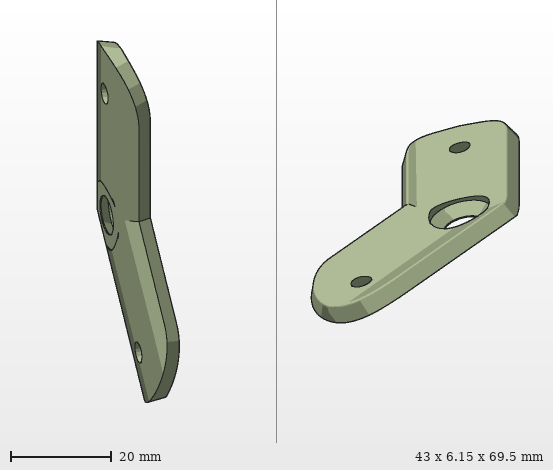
import math

import cadquery as cq

OUTER_RADIUS = 25.0
THICKNESS = 3.71
INNER_RADIUS = OUTER_RADIUS - THICKNESS
HALF_WIDTH = 12.0
HALF_SWEEP = math.degrees(math.asin(HALF_WIDTH / OUTER_RADIUS))

ARM_LENGTH = 38.5
BEND_ANGLE = 135.0
TURN = 180.0 - BEND_ANGLE

END_ROUND_RADIUS = HALF_WIDTH
OUTSIDE_CORNER_RADIUS = 10.0
RIM_ROUND_RADIUS = 0.5

SPOTFACE_DIAMETER = 14.0
SPOTFACE_DEPTH = 0.5
PIVOT_HOLE_RADIUS = 4.0
COUNTERBORE_RADIUS = 6.25
CONE_START = 0.75
CONE_END = CONE_START + COUNTERBORE_RADIUS - PIVOT_HOLE_RADIUS

END_HOLE_DIAMETER = 4.2
END_HOLE_DISTANCE = 28.5

TAIL = 20.0
CLEARANCE = 5.0
MITRE_BLOCK_SIDE = 4 * ARM_LENGTH


def make_wall_block(side):
    """Block whose radial wall (side +1 at +X, -1 at -X) turns into the arm end by a round corner."""
    width = OUTER_RADIUS + HALF_WIDTH
    depth = OUTER_RADIUS + CLEARANCE
    block = (
        cq.Workplane("XY", origin=(-width / 2, -depth / 2, -TAIL))
        .rect(width, depth)
        .extrude(TAIL + ARM_LENGTH)
        .edges(">X and >Z")
        .fillet(END_ROUND_RADIUS)
        .rotate((0, 0, 0), (0, 0, 1), HALF_SWEEP)
        .translate((0, OUTER_RADIUS, 0))
    )
    return block if side > 0 else block.mirror("YZ")


def make_mitre_block():
    """Large block filling the upper arm's side of the mitre plane."""
    return (
        cq.Workplane("XY")
        .box(MITRE_BLOCK_SIDE, MITRE_BLOCK_SIDE, MITRE_BLOCK_SIDE, centered=(True, True, False))
        .rotate((0, 0, 0), (0, 1, 0), -TURN / 2)
    )


def make_plain_arm():
    """Upright curved arm with a round end, mitred through the pivot."""
    shell = (
        cq.Workplane("XY", origin=(0, OUTER_RADIUS, -TAIL))
        .circle(OUTER_RADIUS)
        .circle(INNER_RADIUS)
        .extrude(TAIL + ARM_LENGTH)
    )
    return shell.intersect(make_wall_block(1)).intersect(make_wall_block(-1)).intersect(make_mitre_block())


def join_with_mirror(upper_arm):
    """Join an upper arm to its mirror image across the mitre plane."""
    lower_arm = upper_arm.mirror("XY").rotate((0, 0, 0), (0, 1, 0), -TURN)
    return upper_arm.union(lower_arm)


def round_outside_corner(body):
    """Round the edge where the two outside walls meet at the mitre."""
    sweep = math.radians(HALF_SWEEP)
    wall_radius = (OUTER_RADIUS + INNER_RADIUS) / 2
    corner_x = -wall_radius * math.sin(sweep)
    corner_y = OUTER_RADIUS - wall_radius * math.cos(sweep)
    corner_z = corner_x * math.tan(math.radians(TURN / 2))
    corner_edge = cq.selectors.NearestToPointSelector((corner_x, corner_y, corner_z))
    return body.edges(corner_edge).fillet(OUTSIDE_CORNER_RADIUS)


def round_inner_rim(arm):
    """Round the edges of the arm's inner face, leaving its mitre edge sharp."""
    inner_face = arm.faces(cq.selectors.NearestToPointSelector((0, 2 * THICKNESS, ARM_LENGTH / 2)))
    mitre_face = arm.faces(cq.selectors.NearestToPointSelector((0, THICKNESS, 0)))
    mitre_edges = mitre_face.edges().vals()
    rim_edges = [
        edge
        for edge in inner_face.edges().vals()
        if not any(edge.isSame(mitre_edge) for mitre_edge in mitre_edges)
    ]
    return arm.newObject(rim_edges).fillet(RIM_ROUND_RADIUS)


def make_body():
    """Two arms joined at the mitre, with the outside corner and the inner rim rounded."""
    body = round_outside_corner(join_with_mirror(make_plain_arm()))
    upper_arm = body.intersect(make_mitre_block())
    return join_with_mirror(round_inner_rim(upper_arm))


def make_spotface():
    """Cutter for the flat seat around the pivot, just below the crown of the outer face."""
    return (
        cq.Workplane("XZ", origin=(0, SPOTFACE_DEPTH, 0))
        .circle(SPOTFACE_DIAMETER / 2)
        .extrude(CLEARANCE)
    )


def make_pivot_bore():
    """Cutter for the pivot hole, which opens through a cone into a wide bore at the inner face."""
    return (
        cq.Workplane("XY")
        .polyline([
            (0, -CLEARANCE),
            (PIVOT_HOLE_RADIUS, -CLEARANCE),
            (PIVOT_HOLE_RADIUS, CONE_START),
            (COUNTERBORE_RADIUS, CONE_END),
            (COUNTERBORE_RADIUS, OUTER_RADIUS),
            (0, OUTER_RADIUS),
        ])
        .close()
        .revolve(360, (0, 0, 0), (0, 1, 0))
    )


def make_end_hole(arm_angle):
    """Through-hole cutter along Y, near the end of the arm turned arm_angle degrees from +Z."""
    angle = math.radians(arm_angle)
    x = END_HOLE_DISTANCE * math.sin(angle)
    z = END_HOLE_DISTANCE * math.cos(angle)
    return (
        cq.Workplane("XZ", origin=(x, -CLEARANCE, z))
        .circle(END_HOLE_DIAMETER / 2)
        .extrude(-OUTER_RADIUS)
    )


result = make_body().cut(make_spotface()).cut(make_pivot_bore())
for arm_angle in (0.0, BEND_ANGLE):
    result = result.cut(make_end_hole(arm_angle))